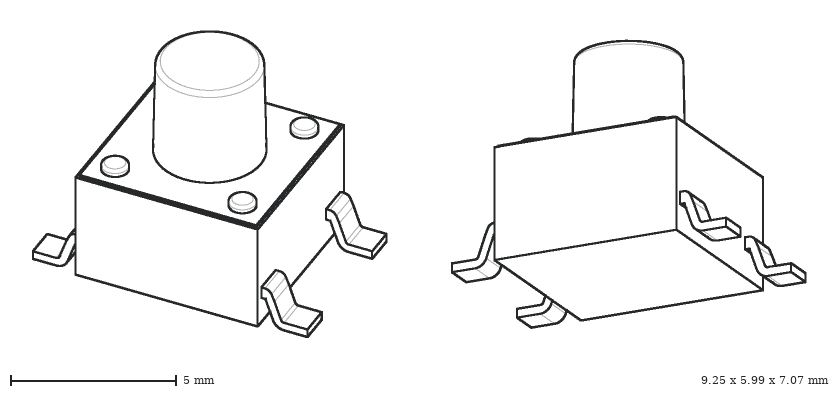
import cadquery as cq
import math

overall_length = 9.25
overall_height = 7.07

body_length = 6.14
body_width = 5.99
body_bottom = 0.065
body_top = 3.7

cover_inset = 0.09
cover_top = 3.765

stud_diameter = 0.85
stud_spacing = 4.29
stud_top = 4.0
stud_fillet = 0.1

button_base_diameter = 3.44
button_top_diameter = 3.31
button_fillet = 0.16

leg_width = 1.0
leg_spacing = 4.5
foot_thickness = 0.29
foot_bend_reach = 0.79
foot_bend_radius = 0.11
shank_angle = math.radians(70.5)
shoulder_angle = math.radians(67.5)
shoulder_bottom = 0.98
shoulder_top = 1.37
shoulder_radius = 0.24


def plate(length, width, bottom, top):
    """Rectangular block centred on the Z axis."""
    return cq.Workplane("XY").workplane(offset=bottom).rect(length, width).extrude(top - bottom)


def make_button():
    height = overall_height - cover_top
    taper = math.degrees(math.atan2((button_base_diameter - button_top_diameter) / 2, height))
    button = (
        cq.Workplane("XY")
        .workplane(offset=cover_top)
        .circle(button_base_diameter / 2)
        .extrude(height, taper=taper)
    )
    return button.faces(">Z").edges().fillet(button_fillet)


def make_studs():
    return (
        cq.Workplane("XY")
        .workplane(offset=cover_top)
        .rect(stud_spacing, stud_spacing, forConstruction=True)
        .vertices()
        .circle(stud_diameter / 2)
        .extrude(stud_top - cover_top)
        .faces(">Z")
        .edges()
        .fillet(stud_fillet)
    )


def make_leg():
    """One leg on the -X side, centred on y = 0."""
    tip = -overall_length / 2
    body_side = -body_length / 2
    bend_start = tip + foot_bend_reach
    outer_bend_radius = foot_bend_radius + foot_thickness
    half_bend = math.tan(shank_angle / 2)

    foot_inner = (bend_start + foot_bend_radius * half_bend, foot_thickness)
    foot_outer = (bend_start + outer_bend_radius * half_bend, 0)
    kink = (
        foot_inner[0] + (shoulder_bottom - foot_thickness) / math.tan(shank_angle),
        shoulder_bottom,
    )
    shoulder_outer = (
        kink[0] + (shoulder_top - shoulder_bottom) / math.tan(shoulder_angle),
        shoulder_top,
    )
    shoulder_inner = (foot_outer[0] + shoulder_bottom / math.tan(shank_angle), shoulder_bottom)

    leg = (
        cq.Workplane("XZ")
        .moveTo(tip, 0)
        .lineTo(tip, foot_thickness)
        .lineTo(*foot_inner)
        .lineTo(*kink)
        .lineTo(*shoulder_outer)
        .lineTo(body_side, shoulder_top)
        .lineTo(body_side, shoulder_bottom)
        .lineTo(*shoulder_inner)
        .lineTo(*foot_outer)
        .close()
        .extrude(leg_width / 2, both=True)
    )
    bends = [
        (foot_inner, foot_bend_radius),
        (foot_outer, outer_bend_radius),
        (shoulder_outer, shoulder_radius),
    ]
    for (x, z), radius in bends:
        leg = leg.edges(cq.NearestToPointSelector((x, 0, z))).fillet(radius)
    return leg


body = plate(body_length, body_width, body_bottom, body_top)
cover = plate(body_length - 2 * cover_inset, body_width - 2 * cover_inset, body_top, cover_top)
result = body.union(cover).union(make_button()).union(make_studs())

left_leg = make_leg()
for leg in (left_leg, left_leg.mirror("YZ")):
    for side in (-1, 1):
        result = result.union(leg.translate((0, side * leg_spacing / 2, 0)))